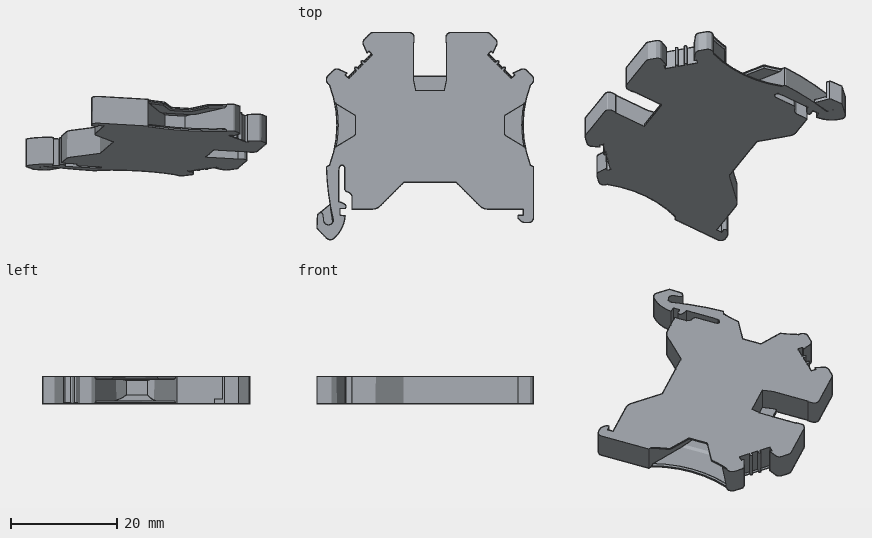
import cadquery as cq
import math

thickness = 5.2
half_width = 19.53
height = 33.35

slot_half = 3.1
slot_lip = 0.12
slot_lip_bottom = 31.4
slot_taper_top = 24.35
slot_floor_half = 2.7
slot_floor = 22.35
slot_shelf_edge = 25.1

recess_half = 4.95
recess_height = 5.05

side_arc_middle = 15.85
side_arc_half = 7.55
side_arc_end_x = 18.95
side_arc_depth = 1.4
side_arc_radius = (side_arc_half**2 + side_arc_depth**2) / (2 * side_arc_depth)
side_arc_x = side_arc_end_x - side_arc_depth
side_arc_centre_x = side_arc_x + side_arc_radius
shoulder_step = half_width - side_arc_end_x
lower_shoulder_step = 0.3
lower_shoulder_y = side_arc_middle - side_arc_half - lower_shoulder_step

holder_x = 13.07
holder_y = 26.88
holder_floor_half = 3.15
holder_lip_half = 2.65
holder_lip_height = 0.95
holder_jaw_half = 3.47
holder_jaw_height = 3.15
jaw_radius = 1.0
marker_ledge = 0.3
tooth_offset = 0.85
tooth_width = 0.5
tooth_height = 0.65

pocket_plate = 0.57
pocket_chamfer = 0.3
slot_shelf_thickness = pocket_plate
pocket_throat_x = 11.9
pocket_throat_half = 3.5
pocket_throat_radius = 1.85
pocket_end_x = 10.85
pocket_end_half = 1.95
pocket_end_middle = 15.52
pocket_floor_end_x = 12.65
throat_floor_x = 11.35
throat_floor_z = 1.1
pocket_end_bottom = 1.67
pocket_end_top = 4.37
window_end_x = 14.05
window_end_half = 1.85
window_mouth_x = 17.97
window_mouth_half = 4.2
window_corner_radius = 0.4

hook_inner_x = 17.52
hook_bottom = -2.55
hook_nose_x = 16.55
hook_nose_top = -1.1
hook_nose_bottom = -1.65
hook_heel_x = 17.4
hook_radius = 1.0
heel_radius = 1.4
nose_radius = 0.25

gap_left_x = -17.08
gap_right_x = -16.1
gap_top = 8.3
gap_step_top = (gap_right_x, 3.92)
gap_step_upper_bend = (-15.95, 3.47)
gap_step_middle = (-15.5, 3.23)
gap_step_lower_bend = (-14.9, 2.85)
gap_step_bottom = (-14.7, 2.25)

clip_inner_x = -17.2
clip_inner_top = 6.9
clip_arm_bend_top = 7.7

groove_mouth = (-18.85, 0.95)
groove_round_y = -2.05
groove_inner_x = -18.2
groove_outer_x = -20.05
groove_bottom = (-19.15, -2.95)
lever_inner_top = (-20.2, -1.1)
lever_inner_bend = (-20.35, -0.75)
lever_tip = (-20.65, -0.57)
lever_outer_tip = (-21.15, -1.0)
lever_back_top = (-21.25, -1.3)
lever_back_bottom = (-21.32, -3.6)
web_thickness = 0.9

foot_left = (-19.5, -5.47)
foot_bottom = (-18.8, -5.75)
foot_right = (-18.15, -5.5)
foot_bulge = (-16.63, -3.6)
foot_tip = (-15.97, -1.23)
latch_notch_x = -16.95
latch_notch_bottom = -1.1
latch_notch_top = 0.12
latch_nose_start_x = -16.0
latch_nose_tip = (-15.8, 0.5)
latch_nose_top = 0.9
latch_bend = (-16.5, 1.23)
latch_top = 1.45

top_corner_radius = 1.0
base_corner_radius = 2.0
recess_corner_radius = 0.4
shoulder_radius = 0.8

mid_z = thickness / 2
outside = 2 * half_width


def mirrored(solid):
    """The solid together with its mirror image in the X = 0 plane."""
    return solid.union(solid.mirror("YZ"))


def round_edge(solid, x, y, radius):
    """Fillet the edge parallel to Z that passes closest to (x, y)."""
    edge = cq.selectors.NearestToPointSelector((x, y, mid_z))
    return solid.edges("|Z").edges(edge).fillet(radius)


def holder_point(u, v):
    """Convert marker-holder coordinates (u, v) to housing X and Y."""
    diagonal = math.sqrt(0.5)
    return holder_x + (u + v) * diagonal, holder_y + (v - u) * diagonal


def housing_half():
    jaw_top = holder_point(-holder_jaw_half, holder_jaw_height)
    jaw_side = holder_point(holder_jaw_half, holder_jaw_height)
    top_corner = (jaw_top[0] - (height - jaw_top[1]), height)
    side_corner = (half_width, jaw_side[1] - (half_width - jaw_side[0]))
    arc_top = side_arc_middle + side_arc_half
    arc_bottom = side_arc_middle - side_arc_half
    half = (
        cq.Workplane("XY")
        .moveTo(0, recess_height)
        .lineTo(0, slot_floor)
        .lineTo(slot_floor_half, slot_floor)
        .lineTo(slot_half, slot_taper_top)
        .lineTo(slot_half, slot_lip_bottom)
        .lineTo(slot_half - slot_lip, slot_lip_bottom)
        .lineTo(slot_half - slot_lip, height)
        .lineTo(*top_corner)
        .lineTo(*jaw_top)
        .lineTo(*holder_point(-holder_lip_half, holder_lip_height))
        .lineTo(*holder_point(-holder_floor_half, holder_lip_height))
        .lineTo(*holder_point(-holder_floor_half, 0))
        .lineTo(*holder_point(holder_floor_half, 0))
        .lineTo(*holder_point(holder_floor_half, holder_lip_height))
        .lineTo(*holder_point(holder_lip_half, holder_lip_height))
        .lineTo(*jaw_side)
        .lineTo(*side_corner)
        .lineTo(half_width, arc_top + shoulder_step)
        .lineTo(side_arc_end_x, arc_top)
        .threePointArc((side_arc_x, side_arc_middle), (side_arc_end_x, arc_bottom))
        .lineTo(half_width, lower_shoulder_y)
        .lineTo(half_width, 0)
        .lineTo(recess_half + recess_height, 0)
        .lineTo(recess_half, recess_height)
        .close()
        .extrude(thickness)
    )
    half = round_edge(half, slot_half - slot_lip, height, top_corner_radius)
    for corner in (top_corner, jaw_top, jaw_side, side_corner):
        half = round_edge(half, *corner, jaw_radius)
    half = round_edge(half, half_width, arc_top + shoulder_step, shoulder_radius)
    half = round_edge(half, recess_half + recess_height, 0, base_corner_radius)
    return round_edge(half, recess_half, recess_height, recess_corner_radius)


def marker_rail():
    """Bevelled ledge and two rounded teeth on a marker-holder floor."""
    ledge_start = holder_point(-holder_floor_half, 0)
    ledge_plane = cq.Plane(origin=(*ledge_start, 0), xDir=(1, 1, 0), normal=(1, -1, 0))
    ledge = (
        cq.Workplane(ledge_plane)
        .polyline([(0, 0), (marker_ledge, 0), (0, marker_ledge)])
        .close()
        .extrude(2 * holder_floor_half)
    )
    tooth_plane = cq.Plane(origin=(holder_x, holder_y, 0), xDir=(1, -1, 0), normal=(0, 0, 1))
    teeth = (
        cq.Workplane(tooth_plane)
        .pushPoints([(-tooth_offset, 0), (tooth_offset, 0)])
        .slot2D(2 * tooth_height, tooth_width, 90)
        .extrude(thickness)
    )
    return ledge.union(teeth)


def pocket_plan():
    """Full-thickness prism with the plan shape of a side pocket."""
    plan = (
        cq.Workplane("XY")
        .moveTo(outside, side_arc_middle + side_arc_half)
        .lineTo(side_arc_end_x, side_arc_middle + side_arc_half)
        .lineTo(pocket_throat_x, side_arc_middle + pocket_throat_half)
        .lineTo(pocket_end_x, pocket_end_middle + pocket_end_half)
        .lineTo(pocket_end_x, pocket_end_middle - pocket_end_half)
        .lineTo(pocket_throat_x, side_arc_middle - pocket_throat_half)
        .lineTo(side_arc_end_x, side_arc_middle - side_arc_half)
        .lineTo(outside, side_arc_middle - side_arc_half)
        .close()
        .extrude(thickness)
    )
    for offset in (-pocket_throat_half, pocket_throat_half):
        plan = round_edge(plan, pocket_throat_x, side_arc_middle + offset, pocket_throat_radius)
    return plan


def pocket_section():
    """Prism along Y with the floor, end wall and ceiling of a side pocket."""
    return (
        cq.Workplane("XZ")
        .moveTo(outside, pocket_plate)
        .lineTo(pocket_floor_end_x, pocket_plate)
        .tangentArcPoint((throat_floor_x, throat_floor_z), relative=False)
        .lineTo(pocket_end_x, pocket_end_bottom)
        .lineTo(pocket_end_x, pocket_end_top)
        .lineTo(throat_floor_x, thickness - pocket_plate)
        .lineTo(outside, thickness - pocket_plate)
        .close()
        .extrude(-height)
    )


def mouth_bevels():
    """Cones that bevel the inner rim of both pocket plates along the waisted edge."""
    bevel_bottom = pocket_plate - pocket_chamfer
    cone = cq.Workplane(cq.Solid.makeCone(
        side_arc_radius,
        side_arc_radius + pocket_chamfer,
        pocket_chamfer,
        pnt=cq.Vector(side_arc_centre_x, side_arc_middle, bevel_bottom),
    ))
    return cone.union(cone.mirror("XY", (0, 0, mid_z)))


def pocket_window():
    """Opening in the front plate of a pocket, bevelled on its inner rim."""
    slope = (window_mouth_half - window_end_half) / (window_mouth_x - window_end_x)
    outer_half = window_end_half + slope * (half_width - window_end_x)
    outline = [
        (half_width, -outer_half),
        (half_width, outer_half),
        (window_end_x, window_end_half),
        (window_end_x, -window_end_half),
    ]
    bevel_top = thickness - pocket_plate + pocket_chamfer
    opening = (
        cq.Workplane("XY", origin=(0, side_arc_middle, bevel_top))
        .polyline(outline)
        .close()
        .extrude(thickness - bevel_top)
    )
    for end in (-window_end_half, window_end_half):
        opening = round_edge(opening, window_end_x, side_arc_middle + end, window_corner_radius)
    bevel = opening.faces("<Z").wires().toPending().workplane().extrude(pocket_chamfer, taper=-45)
    return opening.union(bevel)


def side_pocket():
    plan = pocket_plan()
    cavity = plan.intersect(pocket_section())
    bevels = plan.intersect(mouth_bevels())
    return cavity.union(bevels).union(pocket_window())


def slot_shelf():
    size_y = slot_shelf_edge - slot_floor
    return (
        cq.Workplane("XY", origin=(0, slot_floor + size_y / 2, 0))
        .box(2 * slot_half, size_y, slot_shelf_thickness, centered=(True, True, False))
    )


def rail_hook():
    hook = (
        cq.Workplane("XY")
        .moveTo(hook_inner_x, 0)
        .lineTo(hook_inner_x, hook_nose_top)
        .lineTo(hook_nose_x, hook_nose_top)
        .lineTo(hook_nose_x, hook_nose_bottom)
        .lineTo(hook_heel_x, hook_bottom)
        .lineTo(half_width, hook_bottom)
        .lineTo(half_width, 0)
        .close()
        .extrude(thickness)
    )
    hook = round_edge(hook, half_width, hook_bottom, hook_radius)
    hook = round_edge(hook, hook_heel_x, hook_bottom, heel_radius)
    hook = round_edge(hook, hook_nose_x, hook_nose_bottom, nose_radius)
    return round_edge(hook, hook_nose_x, hook_nose_top, nose_radius)


def clip_clearance():
    """Space cut from the housing corner for the clip and the gap behind it."""
    gap_radius = (gap_right_x - gap_left_x) / 2
    gap_round_y = gap_top - gap_radius
    return (
        cq.Workplane("XY")
        .moveTo(-outside, lower_shoulder_y)
        .lineTo(gap_left_x, lower_shoulder_y)
        .lineTo(gap_left_x, gap_round_y)
        .threePointArc((gap_right_x - gap_radius, gap_top), (gap_right_x, gap_round_y))
        .lineTo(*gap_step_top)
        .threePointArc(gap_step_upper_bend, gap_step_middle)
        .threePointArc(gap_step_lower_bend, gap_step_bottom)
        .lineTo(gap_step_bottom[0], -outside)
        .lineTo(-outside, -outside)
        .close()
        .extrude(thickness)
    )


def spring_clip():
    return (
        cq.Workplane("XY")
        .moveTo(-half_width, lower_shoulder_y)
        .lineTo(-half_width, clip_arm_bend_top)
        .threePointArc(groove_mouth, (groove_inner_x, groove_round_y))
        .threePointArc(groove_bottom, (groove_outer_x, groove_round_y))
        .lineTo(*lever_inner_top)
        .threePointArc(lever_inner_bend, lever_tip)
        .lineTo(*lever_outer_tip)
        .lineTo(*lever_back_top)
        .lineTo(*lever_back_bottom)
        .lineTo(*foot_left)
        .threePointArc(foot_bottom, foot_right)
        .threePointArc(foot_bulge, foot_tip)
        .lineTo(latch_notch_x, latch_notch_bottom)
        .lineTo(latch_notch_x, latch_notch_top)
        .lineTo(latch_nose_start_x, latch_notch_top)
        .threePointArc(latch_nose_tip, (latch_nose_start_x, latch_nose_top))
        .threePointArc(latch_bend, (clip_inner_x, latch_top))
        .lineTo(clip_inner_x, clip_inner_top)
        .lineTo(gap_left_x, lower_shoulder_y)
        .close()
        .extrude(thickness)
    )


def clip_web():
    """Thin web that closes the back of the clip's release groove."""
    groove_floor = groove_bottom[1]
    outline = [
        groove_mouth,
        lever_tip,
        (groove_outer_x, groove_floor),
        (groove_inner_x, groove_floor),
    ]
    return cq.Workplane("XY").polyline(outline).close().extrude(web_thickness)


housing_side = housing_half().union(marker_rail()).cut(side_pocket())
result = (
    mirrored(housing_side)
    .cut(clip_clearance())
    .union(spring_clip())
    .union(clip_web())
    .union(rail_hook())
    .union(slot_shelf())
)